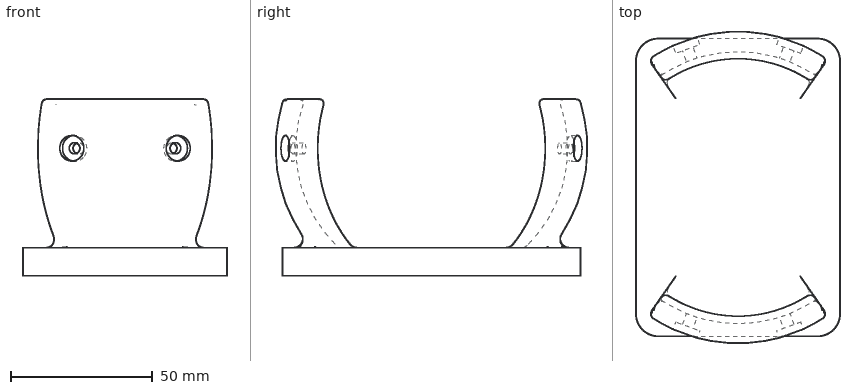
import cadquery as cq
import math

base_width = 72.0
base_depth = 105.0
base_height = 10.0
base_corner_radius = 8.0

outer_radius = 55.0
inner_radius = 48.0
sphere_z = 45.0
total_height = 62.4
half_angle = 35.0
edge_fillet = 2.0
inner_rim_fillet = 1.5
root_fillet = 3.0

hole_diameter = 4.0
counterbore_diameter = 9.0
counterbore_depth = 3.0
hole_angle = 20.0


def make_base():
    plate = cq.Workplane("XY").box(base_width, base_depth, base_height, centered=(True, True, False))
    return plate.edges("|Z").fillet(base_corner_radius)


def sphere_reach(radius, z):
    """Horizontal distance from the Z axis to the sphere surface at height z."""
    return math.sqrt(radius**2 - (z - sphere_z) ** 2)


def make_wall():
    """Spherical wall on the -Y side, revolved from its section about the Z axis."""
    section = (
        cq.Workplane("YZ")
        .moveTo(-sphere_reach(inner_radius, base_height), base_height)
        .lineTo(-sphere_reach(outer_radius, base_height), base_height)
        .threePointArc(
            (-outer_radius, sphere_z),
            (-sphere_reach(outer_radius, total_height), total_height),
        )
        .lineTo(-sphere_reach(inner_radius, total_height), total_height)
        .threePointArc(
            (-inner_radius, sphere_z),
            (-sphere_reach(inner_radius, base_height), base_height),
        )
        .close()
    )
    wall = section.revolve(2 * half_angle, (0, 0, 0), (0, 1, 0))
    return wall.rotate((0, 0, 0), (0, 0, 1), -half_angle)


def end_and_outer_edges(wall):
    """Long edges of both end faces and the outer edge of the top face."""
    tolerance = 0.01
    outer_rim_radius = sphere_reach(outer_radius, total_height)

    def is_wanted(edge):
        middle = edge.positionAt(0.5)
        is_side = edge.BoundingBox().zmax - edge.BoundingBox().zmin > total_height / 2
        is_rim = abs(middle.z - total_height) < tolerance
        is_outer = abs(math.hypot(middle.x, middle.y) - outer_rim_radius) < tolerance
        return is_side or (is_rim and is_outer)

    return wall.newObject([edge for edge in wall.edges().vals() if is_wanted(edge)])


def make_hole(angle):
    """Radial counterbored hole cutter at the given angle from -Y."""
    overshoot = 2.2
    hole_length = outer_radius - inner_radius + 2 * overshoot
    start = cq.Workplane("XZ", origin=(0, -inner_radius + overshoot, sphere_z))
    hole = start.circle(hole_diameter / 2).extrude(hole_length)
    seat = cq.Workplane("XZ", origin=(0, -outer_radius + counterbore_depth, sphere_z))
    counterbore = seat.circle(counterbore_diameter / 2).extrude(counterbore_depth + overshoot)
    return hole.union(counterbore).rotate((0, 0, 0), (0, 0, 1), angle)


wall = make_wall()
rim_center = (0, 0, total_height)
inner_rim = wall.faces(">Z").edges(cq.selectors.NearestToPointSelector(rim_center))
wall = inner_rim.fillet(inner_rim_fillet)
wall = end_and_outer_edges(wall).fillet(edge_fillet)

result = make_base()
for turn in (0, 180):
    result = result.union(wall.rotate((0, 0, 0), (0, 0, 1), turn))

plate_top = result.faces(cq.selectors.NearestToPointSelector((0, 0, base_height))).val()
root_edges = [edge for wire in plate_top.innerWires() for edge in wire.Edges()]
result = result.newObject(root_edges).fillet(root_fillet)

for side in (0, 180):
    for angle in (-hole_angle, hole_angle):
        result = result.cut(make_hole(side + angle))